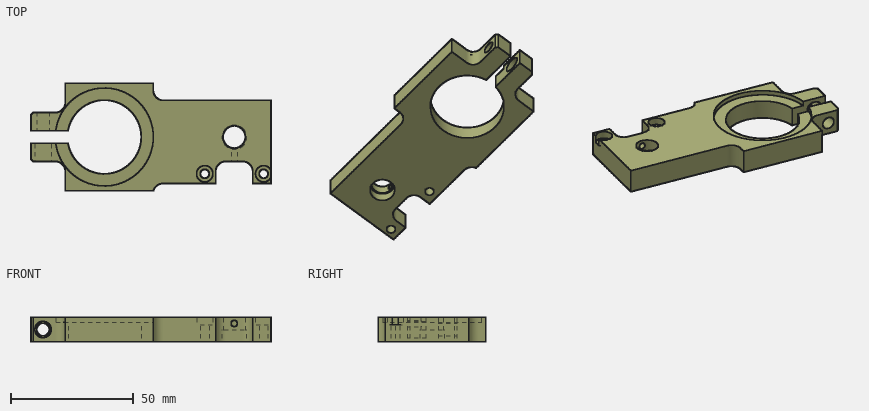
import cadquery as cq

length = 98.0
thickness = 10.0
corner_radius = 4.0

block_left = 14.0
block_right = 50.0
block_half_width = 22.0

body_top = 15.0
body_bottom = -19.0

arm_half_width = 10.0
arm_chamfer = 1.0
slot_width = 5.0
screw_x = 5.0
screw_radius = 2.5
screw_clearance_radius = 3.3

bore_x = 30.0
bore_radius = 15.0
seat_radius = 20.0
seat_depth = 2.0

pivot_x = 82.9
pivot_radius = 4.5
pivot_relief_radius = 5.0
pivot_relief_depth = 5.0
set_screw_radius = 1.3
set_screw_z = 7.4

notch_width = 15.0
notch_end = -10.0

mount_spacing = 24.0
mount_y = -15.0
mount_radius = 1.8
counterbore_radius = 3.3
counterbore_depth = 3.0


def box(x_min, x_max, y_min, y_max):
    """Full-thickness rectangular prism."""
    return cq.Workplane("XY").box(
        x_max - x_min, y_max - y_min, thickness, centered=False
    ).translate((x_min, y_min, 0))


def cylinder_z(x, y, radius, z_min, z_max):
    """Vertical cylinder."""
    return cq.Workplane("XY", origin=(x, y, z_min)).circle(radius).extrude(z_max - z_min)


def cylinder_y(x, z, radius, y_min, y_max):
    """Cylinder along +Y."""
    profile = cq.Workplane("XZ", origin=(x, y_min, z)).circle(radius)
    return profile.extrude(y_min - y_max)


def inside_corner(x, y, x_side, y_side):
    """Material filling an inside corner, leaving a concave round."""
    center_x = x + x_side * corner_radius
    center_y = y + y_side * corner_radius
    fill = box(min(x, center_x), max(x, center_x), min(y, center_y), max(y, center_y))
    return fill.cut(cylinder_z(center_x, center_y, corner_radius, 0, thickness))


def make_plate():
    arms = box(0, bore_x, -arm_half_width, arm_half_width)
    arms = arms.faces("<X").edges("|Z").chamfer(arm_chamfer)
    plate = box(block_left, block_right, -block_half_width, block_half_width)
    plate = plate.union(arms).union(box(bore_x, length, body_bottom, body_top))
    for side in (-1, 1):
        plate = plate.union(inside_corner(block_left, side * arm_half_width, -1, side))
    plate = plate.union(inside_corner(block_right, body_top, 1, 1))

    step = block_half_width + body_bottom
    arc_reach = (corner_radius**2 - (corner_radius - step) ** 2) ** 0.5
    center_x = block_right + arc_reach
    lower_round = box(block_right, center_x, -block_half_width, body_bottom).cut(
        cylinder_z(center_x, body_bottom - corner_radius, corner_radius, 0, thickness)
    )
    return plate.union(lower_round)


def cut_clamp(part):
    part = part.cut(cylinder_z(bore_x, 0, bore_radius, 0, thickness))
    part = part.cut(cylinder_z(bore_x, 0, seat_radius, thickness - seat_depth, thickness))
    part = part.cut(box(0, bore_x, -slot_width / 2, slot_width / 2))
    screw_z = thickness / 2
    part = part.cut(cylinder_y(screw_x, screw_z, screw_radius, 0, arm_half_width))
    return part.cut(cylinder_y(screw_x, screw_z, screw_clearance_radius, -arm_half_width, 0))


def cut_notch(part):
    half_width = notch_width / 2
    notch = box(pivot_x - half_width, pivot_x + half_width, body_bottom, notch_end)
    return part.cut(notch.faces(">Y").edges("|Z").fillet(corner_radius))


def cut_pivot(part):
    part = part.cut(cylinder_z(pivot_x, 0, pivot_radius, 0, thickness))
    part = part.cut(cylinder_z(pivot_x, 0, pivot_relief_radius, 0, pivot_relief_depth))
    return part.cut(cylinder_y(pivot_x, set_screw_z, set_screw_radius, notch_end, 0))


def cut_mounts(part):
    for side in (-1, 1):
        x = pivot_x + side * mount_spacing / 2
        part = part.cut(cylinder_z(x, mount_y, mount_radius, 0, thickness))
        floor = thickness - counterbore_depth
        part = part.cut(cylinder_z(x, mount_y, counterbore_radius, floor, thickness))
    return part


result = cut_mounts(cut_pivot(cut_notch(cut_clamp(make_plate()))))